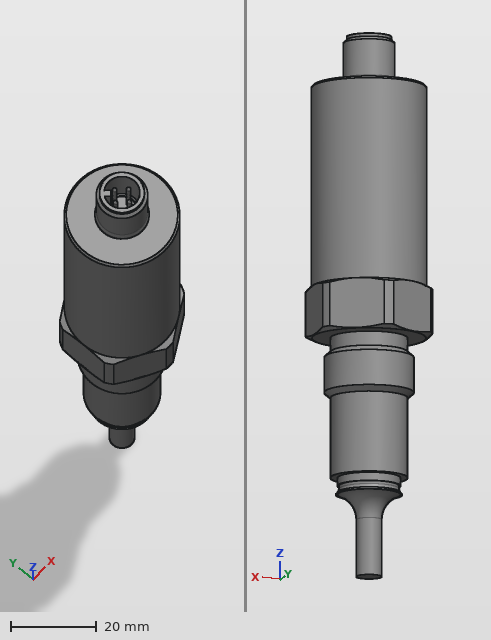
import cadquery as cq
import math

total_height = 128.1

probe_radius = 6.0 / 2
flare_bottom = 13.6
flare_radius = 6.0
collar_bottom = 19.5
collar_lip_top = 20.0
collar_cove_top = 20.9
collar_groove_top = 21.5
collar_radius = 14.7 / 2
collar_groove_radius = 14.1 / 2

stem_radius = 18.0 / 2
stem_bottom = 23.5
ring_radius = 21.0 / 2
ring_bottom = 42.4
ring_top = 53.3
ring_chamfer_height = 1.3

hex_bottom = 56.6
hex_top = 68.5
hex_flats = 27.0
hex_corner_radius = 30.0 / 2
hex_chamfer_height = 0.8
hex_end_radius = 13.3

body_radius = 27.0 / 2
body_top = 116.5
body_chamfer = 0.5

flange_radius = 12.7 / 2
flange_top = 117.0
plug_radius = 12.0 / 2
plug_flare_top = 118.1
plug_tip_radius = 10.5 / 2
plug_shoulder = 126.5
plug_tip_bottom = 127.3
socket_radius = 8.3 / 2
socket_floor = 119.1
socket_step_radius = 7.2 / 2
socket_step_depth = 0.4
key_width = 1.5
key_depth = 1.5
key_angle = 135
pin_radius = 1.0 / 2
pin_circle_radius = 2.3
pin_tip_rounding = 0.45
pin_top = 126.8
pin_count = 4


def make_turned_body():
    """Revolve the half section of all round portions about Z."""
    flare_center_x = probe_radius + flare_radius
    flare_end_angle = math.asin((collar_bottom - flare_bottom) / flare_radius)

    def flare_point(angle):
        return (
            flare_center_x - flare_radius * math.cos(angle),
            flare_bottom + flare_radius * math.sin(angle),
        )

    cove_height = collar_cove_top - collar_lip_top
    cove_depth = collar_radius - collar_groove_radius
    cove_radius = (cove_depth**2 + cove_height**2) / (2 * cove_depth)
    cove_middle = (
        collar_groove_radius + cove_radius - math.sqrt(cove_radius**2 - (cove_height / 2) ** 2),
        collar_cove_top - cove_height / 2,
    )

    profile = (
        cq.Workplane("XZ")
        .moveTo(0, 0)
        .lineTo(probe_radius, 0)
        .lineTo(probe_radius, flare_bottom)
        .threePointArc(flare_point(flare_end_angle / 2), flare_point(flare_end_angle))
        .lineTo(collar_radius, collar_bottom)
        .lineTo(collar_radius, collar_lip_top)
        .threePointArc(cove_middle, (collar_groove_radius, collar_cove_top))
        .lineTo(collar_groove_radius, collar_groove_top)
        .lineTo(collar_radius, collar_groove_top)
        .lineTo(collar_radius, stem_bottom)
        .lineTo(stem_radius, stem_bottom)
        .lineTo(stem_radius, ring_bottom)
        .lineTo(ring_radius, ring_bottom + ring_chamfer_height)
        .lineTo(ring_radius, ring_top - ring_chamfer_height)
        .lineTo(stem_radius, ring_top)
        .lineTo(stem_radius, hex_bottom)
        .lineTo(hex_end_radius, hex_bottom)
        .lineTo(hex_end_radius, hex_top)
        .lineTo(body_radius, hex_top)
        .lineTo(body_radius, body_top - body_chamfer)
        .lineTo(body_radius - body_chamfer, body_top)
        .lineTo(flange_radius, body_top)
        .lineTo(flange_radius, flange_top)
        .lineTo(plug_radius, plug_flare_top)
        .lineTo(plug_radius, plug_shoulder)
        .lineTo(plug_tip_radius, plug_tip_bottom)
        .lineTo(plug_tip_radius, total_height)
        .lineTo(0, total_height)
        .close()
    )
    return profile.revolve(360, (0, 0, 0), (0, 1, 0))


def make_hexagon():
    """Hexagon with flats facing X, rounded corners and turned end chamfers."""
    prism = (
        cq.Workplane("XY")
        .workplane(offset=hex_bottom)
        .polygon(6, hex_flats, circumscribed=True)
        .extrude(hex_top - hex_bottom)
    )
    envelope = (
        cq.Workplane("XZ")
        .moveTo(0, hex_bottom)
        .lineTo(hex_end_radius, hex_bottom)
        .lineTo(hex_corner_radius, hex_bottom + hex_chamfer_height)
        .lineTo(hex_corner_radius, hex_top - hex_chamfer_height)
        .lineTo(body_radius, hex_top)
        .lineTo(0, hex_top)
        .close()
        .revolve(360, (0, 0, 0), (0, 1, 0))
    )
    return prism.intersect(envelope)


def make_socket():
    """Cavity of the plug with a shallow stepped floor and a key rib left standing on its wall."""
    depth = total_height - socket_floor
    cavity = cq.Workplane("XY").workplane(offset=socket_floor).circle(socket_radius).extrude(depth)
    key = (
        cq.Workplane("XY")
        .workplane(offset=socket_floor)
        .center(socket_radius, 0)
        .rect(2 * key_depth, key_width)
        .extrude(depth)
        .rotate((0, 0, 0), (0, 0, 1), key_angle)
    )
    floor_recess = (
        cq.Workplane("XY")
        .workplane(offset=socket_floor - socket_step_depth)
        .circle(socket_step_radius)
        .extrude(socket_step_depth)
    )
    return cavity.cut(key).union(floor_recess)


def make_pins():
    """Round-ended contact pins, rooted in the socket floor."""
    pin_root = socket_floor - socket_step_depth - pin_radius
    return (
        cq.Workplane("XY")
        .workplane(offset=pin_root)
        .polarArray(pin_circle_radius, 0, 360, pin_count)
        .circle(pin_radius)
        .extrude(pin_top - pin_root)
        .faces(">Z")
        .edges()
        .fillet(pin_tip_rounding)
    )


result = make_turned_body().union(make_hexagon()).cut(make_socket()).union(make_pins())